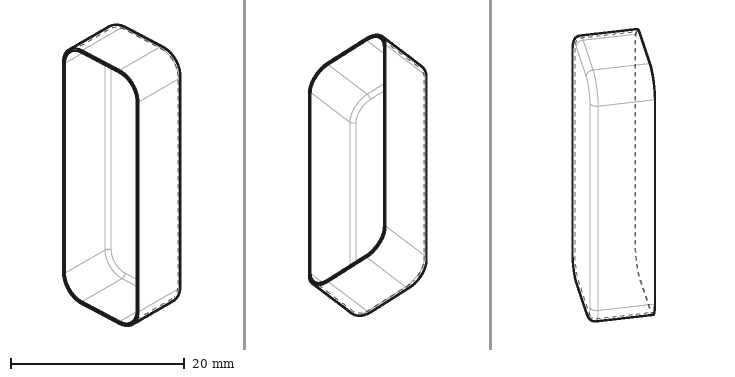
import cadquery as cq

height = 35.0
width = 12.0
depth = 7.5
corner_radius = 3.0
wall = 0.3
back_fillet = 0.8
inner_fillet = back_fillet - wall


def rounded_block(block_width, block_height, block_depth, side_radius, back_radius):
    """Block from y = 0 to +Y with rounded long edges and a rounded back rim."""
    block = cq.Workplane("XZ").rect(block_width, block_height).extrude(-block_depth)
    block = block.edges("|Y").fillet(side_radius)
    return block.faces(">Y").edges().fillet(back_radius)


outside = rounded_block(width, height, depth, corner_radius, back_fillet)

cavity = rounded_block(
    width - 2 * wall,
    height - 2 * wall,
    depth - wall,
    corner_radius - wall,
    inner_fillet,
)

result = outside.cut(cavity)